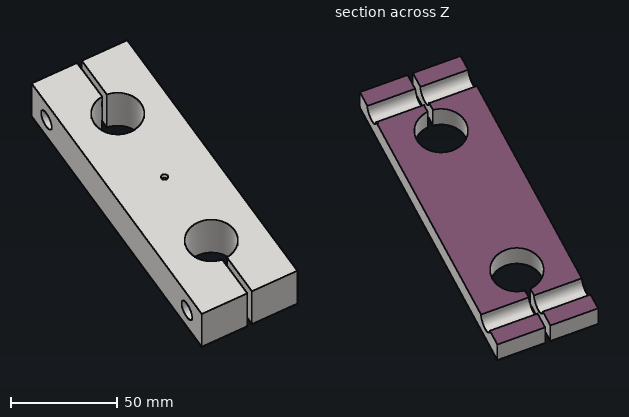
import cadquery as cq
import math

length = 160.0
width = 52.0
height = 25.0

bore_diameter = 25.0
bore_spacing = 88.0

slit_width = 2.5

screw_hole_diameter = 10.0
screw_hole_spacing = 132.0

mouth_diameter = 3.35
mouth_angle = 60.0
pilot_diameter = 1.6
pilot_depth = 3.5
drill_point_angle = 118.0


def make_block():
    return cq.Workplane("XY").box(length, width, height, centered=(True, True, False))


def rod_bore():
    return (
        cq.Workplane("XY")
        .center(bore_spacing / 2, 0)
        .circle(bore_diameter / 2)
        .extrude(height)
    )


def clamping_slit():
    slit_length = (length - bore_spacing) / 2
    slit_centre = (length + bore_spacing) / 4
    return (
        cq.Workplane("XY")
        .center(slit_centre, 0)
        .rect(slit_length, slit_width)
        .extrude(height)
    )


def screw_hole():
    return (
        cq.Workplane("XZ")
        .center(screw_hole_spacing / 2, height / 2)
        .circle(screw_hole_diameter / 2)
        .extrude(width / 2, both=True)
    )


def cone_height(radius_change, included_angle):
    return radius_change / math.tan(math.radians(included_angle / 2))


def centre_hole():
    mouth_radius = mouth_diameter / 2
    pilot_radius = pilot_diameter / 2
    mouth_bottom = height - cone_height(mouth_radius - pilot_radius, mouth_angle)
    pilot_bottom = height - pilot_depth
    point_tip = pilot_bottom - cone_height(pilot_radius, drill_point_angle)
    return (
        cq.Workplane("XZ")
        .moveTo(0, height)
        .lineTo(mouth_radius, height)
        .lineTo(pilot_radius, mouth_bottom)
        .lineTo(pilot_radius, pilot_bottom)
        .lineTo(0, point_tip)
        .close()
        .revolve(360, (0, 0), (0, 1))
    )


result = make_block().cut(centre_hole())

for cutter in (rod_bore(), clamping_slit(), screw_hole()):
    result = result.cut(cutter).cut(cutter.mirror("YZ"))